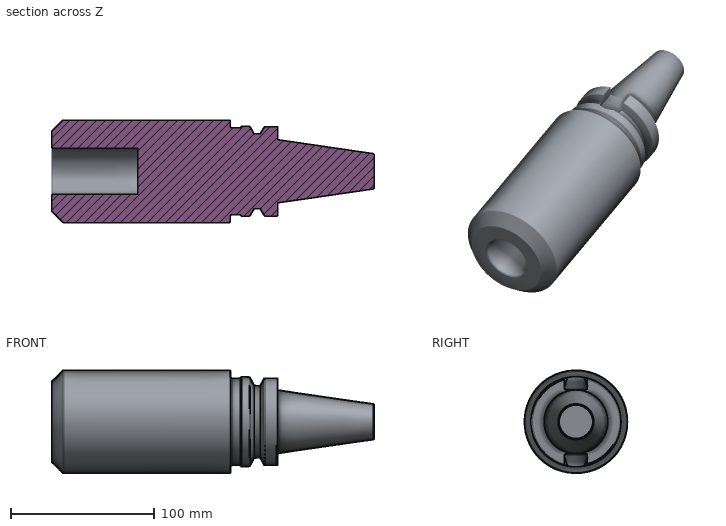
import cadquery as cq
import math


edge_rounding = 1.0

taper_root_diameter = 44.45
taper_ratio = 7 / 24
shank_length = 65.4
shank_end_chamfer = 0.8

flange_diameter = 63.0
flange_front_x = -2.0
flange_rear_x = -27.2
flange_rear_chamfer = 1.2

groove_center_x = -16.45
groove_bottom_diameter = 53.0
groove_bottom_width = 4.3
groove_half_angle = 30.0

neck_diameter = 61.0
body_diameter = 72.0
body_face_x = -160.0
body_rear_x = -35.0
nose_chamfer = 8.0

bore_diameter = 32.0
bore_depth = 60.0
bore_chamfer = 0.7

key_width = 16.1
key_floor_height = 22.5
key_end_x = -23.8
key_floor_fillet = 1.0
slot_overrun = 1.0


def taper_radius(x):
    """Radius of the shank cone at the axial position x."""
    return (taper_root_diameter - taper_ratio * (x - flange_front_x)) / 2


def revolve_outline(corners):
    """Revolve a half outline about X. Each corner is (x, radius, rounding), rounding 0 being sharp."""
    first_x, first_radius, _ = corners[0]
    path = cq.Workplane("XY").moveTo(first_x, first_radius)
    for before, corner, after in zip(corners, corners[1:], corners[2:]):
        point = cq.Vector(corner[0], corner[1])
        rounding = corner[2]
        if rounding == 0:
            path = path.lineTo(point.x, point.y)
            continue
        to_before = (cq.Vector(before[0], before[1]) - point).normalized()
        to_after = (cq.Vector(after[0], after[1]) - point).normalized()
        half_angle = to_before.getAngle(to_after) / 2
        arc_start = point + to_before * (rounding / math.tan(half_angle))
        arc_end = point + to_after * (rounding / math.tan(half_angle))
        bisector = (to_before + to_after).normalized()
        arc_middle = point + bisector * (rounding / math.sin(half_angle) - rounding)
        path = path.lineTo(arc_start.x, arc_start.y)
        path = path.threePointArc((arc_middle.x, arc_middle.y), (arc_end.x, arc_end.y))
    last_x, last_radius, _ = corners[-1]
    return path.lineTo(last_x, last_radius).close().revolve(360, (0, 0, 0), (1, 0, 0))


def make_turned_body():
    """Nose, body, neck, grooved flange and shank in one turned solid."""
    body_radius = body_diameter / 2
    neck_radius = neck_diameter / 2
    flange_radius = flange_diameter / 2
    groove_radius = groove_bottom_diameter / 2
    groove_half_bottom = groove_bottom_width / 2
    flank_run = (flange_radius - groove_radius) * math.tan(math.radians(groove_half_angle))
    groove_half_top = groove_half_bottom + flank_run
    chamfer_start_x = shank_length - shank_end_chamfer
    return revolve_outline([
        (body_face_x, 0, 0),
        (body_face_x, body_radius - nose_chamfer, edge_rounding),
        (body_face_x + nose_chamfer, body_radius, edge_rounding),
        (body_rear_x, body_radius, edge_rounding),
        (body_rear_x, neck_radius, edge_rounding),
        (flange_rear_x - flange_rear_chamfer, neck_radius, 0),
        (flange_rear_x, flange_radius, 0),
        (groove_center_x - groove_half_top, flange_radius, edge_rounding),
        (groove_center_x - groove_half_bottom, groove_radius, 0),
        (groove_center_x + groove_half_bottom, groove_radius, 0),
        (groove_center_x + groove_half_top, flange_radius, edge_rounding),
        (flange_front_x, flange_radius, edge_rounding),
        (flange_front_x, taper_radius(flange_front_x), 0),
        (chamfer_start_x, taper_radius(chamfer_start_x), 0),
        (shank_length, taper_radius(chamfer_start_x) - shank_end_chamfer, 0),
        (shank_length, 0, 0),
    ])


def make_bore():
    """Blind bore in the nose face, with a chamfered mouth."""
    bore_radius = bore_diameter / 2
    bottom_x = body_face_x + bore_depth
    return revolve_outline([
        (body_face_x, 0, 0),
        (body_face_x, bore_radius + bore_chamfer, 0),
        (body_face_x + bore_chamfer, bore_radius, 0),
        (bottom_x, bore_radius, 0),
        (bottom_x, 0, 0),
    ])


def make_key_slot(side):
    """Round-ended key slot through the flange front; side is +1 for +Z, -1 for -Z."""
    half_width = key_width / 2
    arc_center_x = key_end_x + half_width
    cutter_front_x = flange_front_x + slot_overrun
    slot = (
        cq.Workplane("XY")
        .workplane(offset=key_floor_height)
        .moveTo(cutter_front_x, -half_width)
        .lineTo(arc_center_x, -half_width)
        .threePointArc((key_end_x, 0), (arc_center_x, half_width))
        .lineTo(cutter_front_x, half_width)
        .close()
        .extrude(flange_diameter / 2 - key_floor_height)
    )
    slot = slot.faces("<Z").edges("not(>X)").fillet(key_floor_fillet)
    if side < 0:
        slot = slot.mirror("XY")
    return slot


result = make_turned_body().cut(make_bore())
for side in (1, -1):
    result = result.cut(make_key_slot(side))